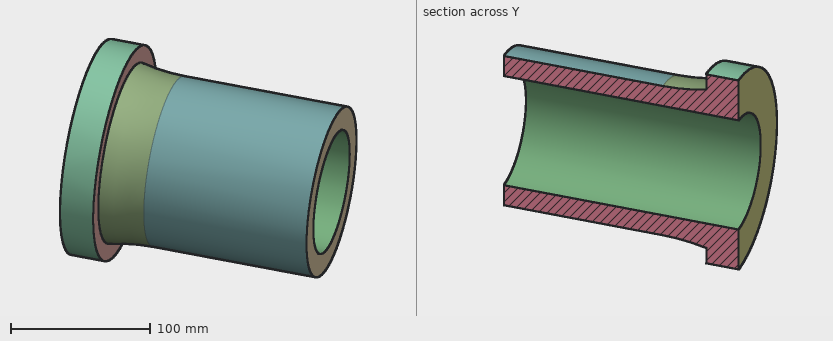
import cadquery as cq

total_length = 180.0
flange_diameter = 158.0
flange_thickness = 25.0
pipe_diameter = 125.0
bore_diameter = 90.7

neck_length = 33.0
neck_root_diameter = 132.5

flange_radius = flange_diameter / 2
pipe_radius = pipe_diameter / 2
bore_radius = bore_diameter / 2
neck_root_radius = neck_root_diameter / 2
neck_end = flange_thickness + neck_length

half_section = (
    cq.Workplane("XY")
    .moveTo(0, bore_radius)
    .lineTo(total_length, bore_radius)
    .lineTo(total_length, pipe_radius)
    .lineTo(neck_end, pipe_radius)
    .tangentArcPoint((flange_thickness, neck_root_radius), relative=False)
    .lineTo(flange_thickness, flange_radius)
    .lineTo(0, flange_radius)
    .close()
)

result = half_section.revolve(360, (0, 0, 0), (1, 0, 0))